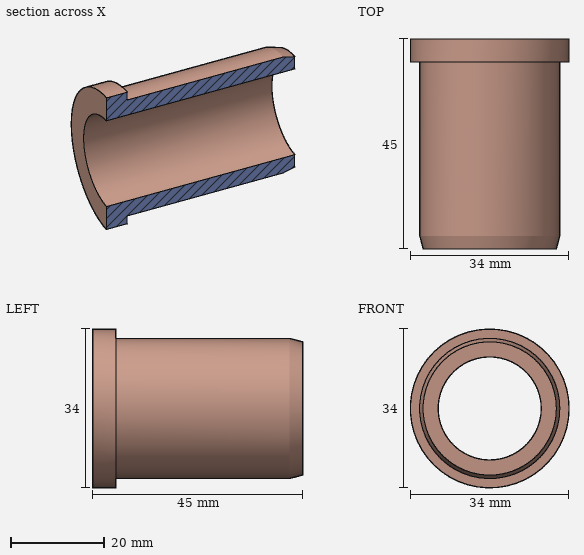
import cadquery as cq

length = 45.0
flange_diameter = 34.0
flange_thickness = 5.0
body_diameter = 30.0
bore_diameter = 22.0
tip_diameter = 28.55
taper_length = 2.8

flange_radius = flange_diameter / 2
body_radius = body_diameter / 2
bore_radius = bore_diameter / 2
tip_radius = tip_diameter / 2
flange_start = length - flange_thickness

half_section = (
    cq.Workplane("XY")
    .moveTo(bore_radius, 0)
    .lineTo(tip_radius, 0)
    .lineTo(body_radius, taper_length)
    .lineTo(body_radius, flange_start)
    .lineTo(flange_radius, flange_start)
    .lineTo(flange_radius, length)
    .lineTo(bore_radius, length)
    .close()
)

result = half_section.revolve(360, (0, 0, 0), (0, 1, 0))